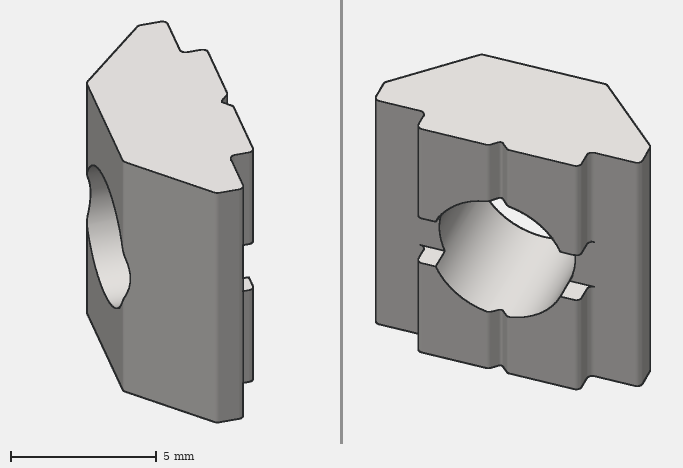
import cadquery as cq

length = 10.0
flange_width = 9.8
thickness = 4.5
neck_width = 6.0
neck_height = 0.9
flange_side_height = 1.0
edge_radius = 0.2
hole_diameter = 5.0
slot_width = 2.0
groove_depth = 0.35
groove_root_radius = 0.1

back_y = thickness / 2
front_y = -thickness / 2
flange_top_y = back_y - neck_height
flange_bottom_y = flange_top_y - flange_side_height
half_flange = flange_width / 2
half_neck = neck_width / 2
taper_height = flange_bottom_y - front_y
half_front = half_flange - taper_height
half_groove = groove_depth
groove_root_y = back_y - groove_depth


def make_body():
    """Extrude the T-nut section along Z and round its long edges."""
    right_half = [
        (half_front, front_y),
        (half_flange, flange_bottom_y),
        (half_flange, flange_top_y),
        (half_neck, flange_top_y),
        (half_neck, back_y),
        (half_groove, back_y),
    ]
    left_half = [(-x, y) for x, y in reversed(right_half)]
    outline = right_half + [(0, groove_root_y)] + left_half
    body = cq.Workplane("XY").polyline(outline).close().extrude(length / 2, both=True)

    groove_root = cq.selectors.NearestToPointSelector((0, groove_root_y, 0))
    body = body.edges("|Z").edges(groove_root).fillet(groove_root_radius)

    corner_boxes = [
        cq.selectors.BoxSelector(
            (x - edge_radius / 4, y - edge_radius / 4, -length),
            (x + edge_radius / 4, y + edge_radius / 4, length),
        )
        for x, y in right_half + left_half
    ]
    corners = corner_boxes[0]
    for box in corner_boxes[1:]:
        corners = corners + box
    return body.edges("|Z").edges(corners).fillet(edge_radius)


def make_hole():
    """Round hole through the middle along Y."""
    return (
        cq.Workplane("XZ")
        .circle(hole_diameter / 2)
        .extrude(thickness, both=True)
    )


def make_slot():
    """Slot across the neck along X, down to the flange face."""
    return (
        cq.Workplane("XY")
        .box(flange_width, neck_height, slot_width)
        .translate((0, back_y - neck_height / 2, 0))
    )


result = make_body().cut(make_hole()).cut(make_slot())